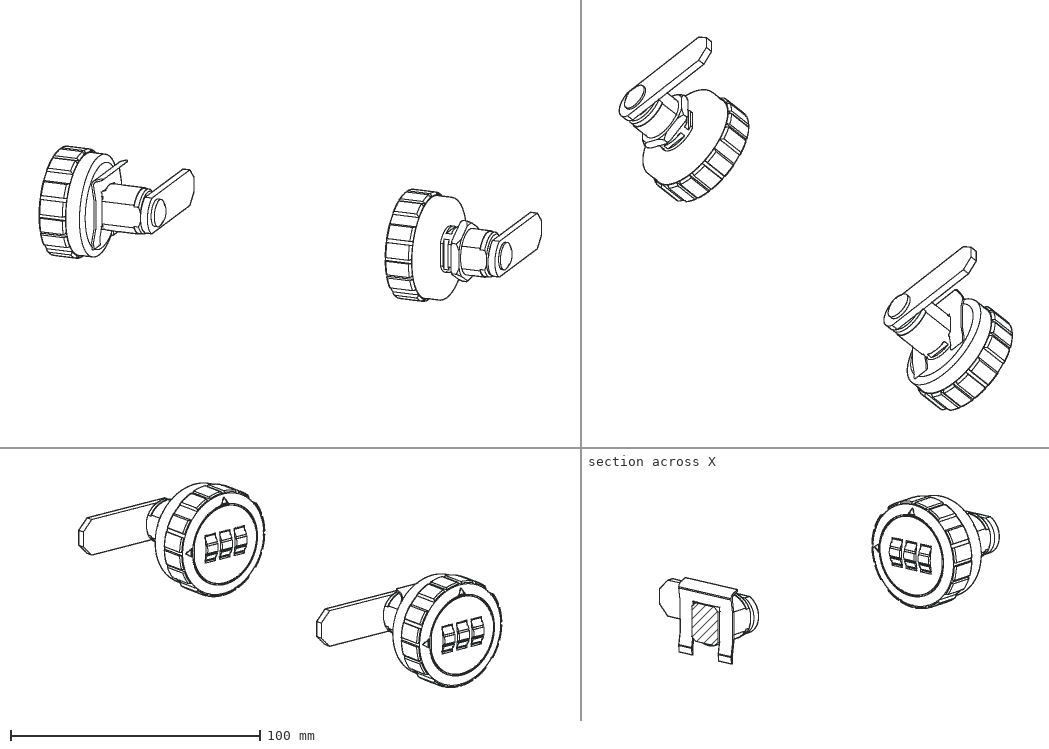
import cadquery as cq
import math

LOCK_PITCH = 150.0

FACE_X = 1.5
DISC_R = 16.3
DISC_GROOVE_WIDTH = 0.5
DISC_GROOVE_DEPTH = 0.5
RIM_R = 19.8
RIM_DROP = 0.5
GRIP_FRONT_X = 2.8
GRIP_REAR_X = 14.0
GRIP_ROOT_R = 21.0
GRIP_DIAMETER = 44.2
GRIP_R = GRIP_DIAMETER / 2
GRIP_FRONT_CHAMFER = 0.5
GRIP_REAR_CHAMFER = 1.0
GRIP_GROOVE_WIDTH = 1.5
GRIP_GROOVE_ANGLES = (0, 20, 70)
GRIP_GAP_CORNER = 13.3
COLLAR_R = 20.8
COLLAR_REAR_X = 21.2
COLLAR_EDGE = 1.2
COLLAR_BEVEL_REAR_R = 17.7

WHEEL_R = 6.7
WHEEL_WIDTH = 5.4
WHEEL_SPACING = 7.5
WHEEL_DIGITS = 10
WHEEL_NOTCH = 0.8
WINDOW_HALF_HEIGHT = 5.8
WINDOW_DEPTH = 3.5
BAND_HALF_HEIGHT = 3.4
BAND_RISE = 0.4

POINTER_TIP_R = 19.8
POINTER_BASE_R = 17.0
POINTER_HALF_WIDTH = 1.8
POINTER_FLOOR_X = 2.4

SHANK_DIAMETER = 18.8
SHANK_R = SHANK_DIAMETER / 2
SHANK_FLAT_Y = 8.1
SHANK_END_X = 41.3
TIP_START_X = 38.5
TIP_R = 9.1
TIP_CHAMFER = 0.8
GROOVE_FRONT_X = 22.5
GROOVE_REAR_X = 24.5
GROOVE_HALF_Y = 7.0
GROOVE_HALF_Z = 8.1

CAM_FRONT_X = 41.8
CAM_SHIFT = 0.5
CAM_THICKNESS = 3.0
CAM_HALF_WIDTH = 7.5
LOCK_WIDTH = 62.0
CAM_REACH = LOCK_WIDTH - GRIP_R
CAM_TAIL = SHANK_R
CAM_TAIL_CORNER = 4.8
CAM_TIP_CHAMFER = 4.4
NECK_R = 6.0
STUD_R = 3.0
SCREW_R = 5.5
SCREW_RIM_END_X = 46.2
SCREW_DOME = 2.2

CLIP_THICKNESS = 0.8
CLIP_HALF_WIDTH = 13.7
CLIP_CENTRE_X = 23.8
CLIP_BEND_X = 22.8
CLIP_TAIL_X = 23.0
CLIP_TAIL_Z = -13.9
CLIP_LOWER_BEND_Z = -11.1
CLIP_LOWER_MIDDLE_Z = -5.4
CLIP_UPPER_MIDDLE_Z = 6.5
CLIP_UPPER_BEND_Z = 12.7
CLIP_CURL_MIDDLE = (23.2, 14.0)
CLIP_CURL_END = (24.4, 14.9)
CLIP_TAB_X = 26.5
CLIP_TAB_Z = 15.7
CLIP_TAB_FILLET = 1.0

NUT_FRONT_X = 27.0
NUT_THICKNESS = 3.5
NUT_ACROSS_FLATS = 22.2
NUT_FRONT_CHAMFER = 0.5
NUT_REAR_CHAMFER = 1.2


def box(x0, x1, y0, y1, z0, z1):
    """Box between two corners."""
    return cq.Workplane("XY").box(x1 - x0, y1 - y0, z1 - z0, centered=False).translate((x0, y0, z0))


def rod(x0, x1, radius):
    """Cylinder on the lock axis."""
    return cq.Workplane("YZ", origin=(x0, 0, 0)).circle(radius).extrude(x1 - x0)


def turned(points):
    """Solid of revolution about the lock axis from (x, radius) points that start and end on it."""
    return cq.Workplane("XY").polyline(points).close().revolve(360, (0, 0, 0), (1, 0, 0))


def grip():
    """Ring of grip pads: narrow grooves around each quarter and a square-cornered gap at each diagonal."""
    pads = turned([
        (GRIP_FRONT_X, 0),
        (GRIP_FRONT_X, GRIP_R - GRIP_FRONT_CHAMFER),
        (GRIP_FRONT_X + GRIP_FRONT_CHAMFER, GRIP_R),
        (GRIP_REAR_X - GRIP_REAR_CHAMFER, GRIP_R),
        (GRIP_REAR_X, GRIP_R - GRIP_REAR_CHAMFER),
        (GRIP_REAR_X, 0),
    ])
    half_width = GRIP_GROOVE_WIDTH / 2
    groove = box(GRIP_FRONT_X, GRIP_REAR_X, 0, GRIP_R, -half_width, half_width)
    gap = box(GRIP_FRONT_X, GRIP_REAR_X, GRIP_GAP_CORNER, GRIP_R, GRIP_GAP_CORNER, GRIP_R)
    for quarter in range(4):
        turn = 90 * quarter
        pads = pads.cut(gap.rotate((0, 0, 0), (1, 0, 0), turn))
        for angle in GRIP_GROOVE_ANGLES:
            pads = pads.cut(groove.rotate((0, 0, 0), (1, 0, 0), turn + angle))
    return pads.union(rod(GRIP_FRONT_X, GRIP_REAR_X, GRIP_ROOT_R))


def collar(bevelled):
    """Plain ring behind the grip; its rear edge is bevelled or rounded."""
    ring = rod(GRIP_REAR_X, COLLAR_REAR_X, COLLAR_R)
    rear_edge = ring.faces(">X").edges()
    if bevelled:
        return rear_edge.chamfer(COLLAR_EDGE, COLLAR_R - COLLAR_BEVEL_REAR_R)
    return rear_edge.fillet(COLLAR_EDGE)


def knob_front():
    """Front disc, the groove around it, the sloping rim and the pointer marks."""
    groove_r = DISC_R + DISC_GROOVE_WIDTH
    groove_x = FACE_X + DISC_GROOVE_DEPTH
    front = turned([
        (GRIP_FRONT_X, 0),
        (FACE_X, 0),
        (FACE_X, DISC_R),
        (groove_x, DISC_R),
        (groove_x, groove_r),
        (FACE_X, groove_r),
        (FACE_X + RIM_DROP, RIM_R),
        (GRIP_FRONT_X, GRIP_ROOT_R),
    ])
    pointer = (
        cq.Workplane("YZ")
        .polyline([
            (-POINTER_HALF_WIDTH, POINTER_BASE_R),
            (POINTER_HALF_WIDTH, POINTER_BASE_R),
            (0, POINTER_TIP_R),
        ])
        .close()
        .extrude(POINTER_FLOOR_X)
    )
    for angle in (0, -90):
        front = front.cut(pointer.rotate((0, 0, 0), (1, 0, 0), angle))
    return front


def band():
    """Shallow rounded band across the disc."""
    radius = (BAND_HALF_HEIGHT**2 + BAND_RISE**2) / (2 * BAND_RISE)
    crest_x = FACE_X - BAND_RISE
    bar = (
        cq.Workplane("XZ", origin=(crest_x + radius, 0, 0))
        .circle(radius)
        .extrude(DISC_R, both=True)
    )
    front_part = box(crest_x, FACE_X, -DISC_R, DISC_R, -BAND_HALF_HEIGHT, BAND_HALF_HEIGHT)
    return bar.intersect(front_part).intersect(rod(crest_x, FACE_X, DISC_R))


def code_wheel():
    """Code wheel with a notch between neighbouring digits; its front touches X = 0."""
    wheel = cq.Workplane("XZ").circle(WHEEL_R).extrude(WHEEL_WIDTH / 2, both=True)
    notch = (
        cq.Workplane("XZ")
        .center(-WHEEL_R, 0)
        .rect(WHEEL_NOTCH, WHEEL_NOTCH)
        .extrude(WHEEL_WIDTH / 2, both=True)
    )
    step = 360 / WHEEL_DIGITS
    for i in range(WHEEL_DIGITS):
        wheel = wheel.cut(notch.rotate((0, 0, 0), (0, 1, 0), (i + 0.5) * step))
    return wheel.translate((WHEEL_R, 0, 0))


def knob(bevelled):
    """Complete knob with its code wheels set in windows."""
    body = knob_front().union(grip()).union(collar(bevelled)).union(band())
    half_width = WHEEL_WIDTH / 2
    for i in (-1, 0, 1):
        y = i * WHEEL_SPACING
        window = box(0, FACE_X + WINDOW_DEPTH, y - half_width, y + half_width,
                     -WINDOW_HALF_HEIGHT, WINDOW_HALF_HEIGHT)
        body = body.cut(window).union(code_wheel().translate((0, y, 0)))
    return body


def shank():
    """Flatted shank with a reduced, chamfered tip and a rectangular neck at the groove."""
    tip = rod(TIP_START_X, SHANK_END_X, TIP_R).faces(">X").edges().chamfer(TIP_CHAMFER)
    bar = rod(COLLAR_REAR_X, TIP_START_X, SHANK_R).union(tip)
    bar = bar.intersect(box(COLLAR_REAR_X, SHANK_END_X, -SHANK_FLAT_Y, SHANK_FLAT_Y, -SHANK_R, SHANK_R))
    groove = box(GROOVE_FRONT_X, GROOVE_REAR_X, -SHANK_R, SHANK_R, -SHANK_R, SHANK_R).cut(
        box(GROOVE_FRONT_X, GROOVE_REAR_X, -GROOVE_HALF_Y, GROOVE_HALF_Y, -GROOVE_HALF_Z, GROOVE_HALF_Z)
    )
    return bar.cut(groove)


def cam_fixing(cam_x):
    """Neck in front of the cam, the stud through it and the domed screw head behind it."""
    cam_rear = cam_x + CAM_THICKNESS
    apex_x = SCREW_RIM_END_X + SCREW_DOME
    dome_r = (SCREW_R**2 + SCREW_DOME**2) / (2 * SCREW_DOME)
    half_angle = math.asin(SCREW_R / dome_r) / 2
    middle = (apex_x - dome_r + dome_r * math.cos(half_angle), dome_r * math.sin(half_angle))
    profile = (
        cq.Workplane("XY")
        .moveTo(SHANK_END_X, 0)
        .lineTo(SHANK_END_X, NECK_R)
        .lineTo(cam_x, NECK_R)
        .lineTo(cam_x, STUD_R)
        .lineTo(cam_rear, STUD_R)
        .lineTo(cam_rear, SCREW_R)
        .lineTo(SCREW_RIM_END_X, SCREW_R)
        .threePointArc(middle, (apex_x, 0))
        .close()
    )
    return profile.revolve(360, (0, 0, 0), (1, 0, 0))


def make_lock(cam_x, bevelled):
    """Lock body: knob, shank and cam fixing in one piece."""
    return knob(bevelled).union(shank()).union(cam_fixing(cam_x))


def make_cam(cam_x):
    """Flat cam reaching to +Y, with chamfered tip corners, a round tail and a stud hole."""
    side_end = CAM_REACH - CAM_TIP_CHAMFER
    tip_half = CAM_HALF_WIDTH - CAM_TIP_CHAMFER
    tail_side_y = CAM_TAIL_CORNER - CAM_TAIL
    return (
        cq.Workplane("YZ", origin=(cam_x, 0, 0))
        .moveTo(tail_side_y, -CAM_HALF_WIDTH)
        .lineTo(side_end, -CAM_HALF_WIDTH)
        .lineTo(CAM_REACH, -tip_half)
        .lineTo(CAM_REACH, tip_half)
        .lineTo(side_end, CAM_HALF_WIDTH)
        .lineTo(tail_side_y, CAM_HALF_WIDTH)
        .threePointArc((-CAM_TAIL, 0), (tail_side_y, -CAM_HALF_WIDTH))
        .close()
        .extrude(CAM_THICKNESS)
        .cut(rod(cam_x, cam_x + CAM_THICKNESS, STUD_R))
    )


def make_clip():
    """Bent sheet spring clip, slotted from below so that its legs straddle the neck of the groove."""
    strip = (
        cq.Workplane("XZ")
        .moveTo(CLIP_TAIL_X, CLIP_TAIL_Z)
        .lineTo(CLIP_BEND_X, CLIP_LOWER_BEND_Z)
        .lineTo(CLIP_CENTRE_X, CLIP_LOWER_MIDDLE_Z)
        .lineTo(CLIP_CENTRE_X, CLIP_UPPER_MIDDLE_Z)
        .lineTo(CLIP_BEND_X, CLIP_UPPER_BEND_Z)
        .threePointArc(CLIP_CURL_MIDDLE, CLIP_CURL_END)
        .lineTo(CLIP_TAB_X, CLIP_TAB_Z)
        .offset2D(CLIP_THICKNESS / 2)
        .extrude(CLIP_HALF_WIDTH, both=True)
    )
    tab_end = CLIP_TAB_X + CLIP_THICKNESS / 2
    front_x = CLIP_BEND_X - CLIP_THICKNESS
    bottom_z = CLIP_TAIL_Z - CLIP_THICKNESS
    top_z = CLIP_TAB_Z + CLIP_THICKNESS
    outline = box(front_x, tab_end, -CLIP_HALF_WIDTH, CLIP_HALF_WIDTH, bottom_z, top_z)
    outline = outline.edges("|Z and >X").fillet(CLIP_TAB_FILLET)
    slot = box(front_x, tab_end, -GROOVE_HALF_Y, GROOVE_HALF_Y, bottom_z, GROOVE_HALF_Z)
    return strip.intersect(outline).cut(slot)


def make_nut():
    """Hex nut with corners along Z and both ends chamfered round."""
    corner_diameter = NUT_ACROSS_FLATS / math.cos(math.pi / 6)
    hexagon = (
        cq.Workplane("YZ", origin=(NUT_FRONT_X, 0, 0))
        .polygon(6, corner_diameter)
        .extrude(NUT_THICKNESS)
        .rotate((0, 0, 0), (1, 0, 0), 90)
    )
    rounding = (
        rod(NUT_FRONT_X, NUT_FRONT_X + NUT_THICKNESS, corner_diameter / 2)
        .faces("<X").edges().chamfer(NUT_FRONT_CHAMFER)
        .faces(">X").edges().chamfer(NUT_REAR_CHAMFER)
    )
    return hexagon.intersect(rounding).cut(rod(NUT_FRONT_X, NUT_FRONT_X + NUT_THICKNESS, SHANK_R))


second_cam_x = CAM_FRONT_X + CAM_SHIFT
second_place = (LOCK_PITCH, 0, 0)

clip_lock = make_lock(CAM_FRONT_X, bevelled=True)
clip = make_clip()
clip_lock_cam = make_cam(CAM_FRONT_X)
nut_lock = make_lock(second_cam_x, bevelled=False).translate(second_place)
nut = make_nut().translate(second_place)
nut_lock_cam = make_cam(second_cam_x).translate(second_place)

result = cq.Compound.makeCompound([
    clip_lock.val(),
    clip.val(),
    clip_lock_cam.val(),
    nut_lock.val(),
    nut.val(),
    nut_lock_cam.val(),
])